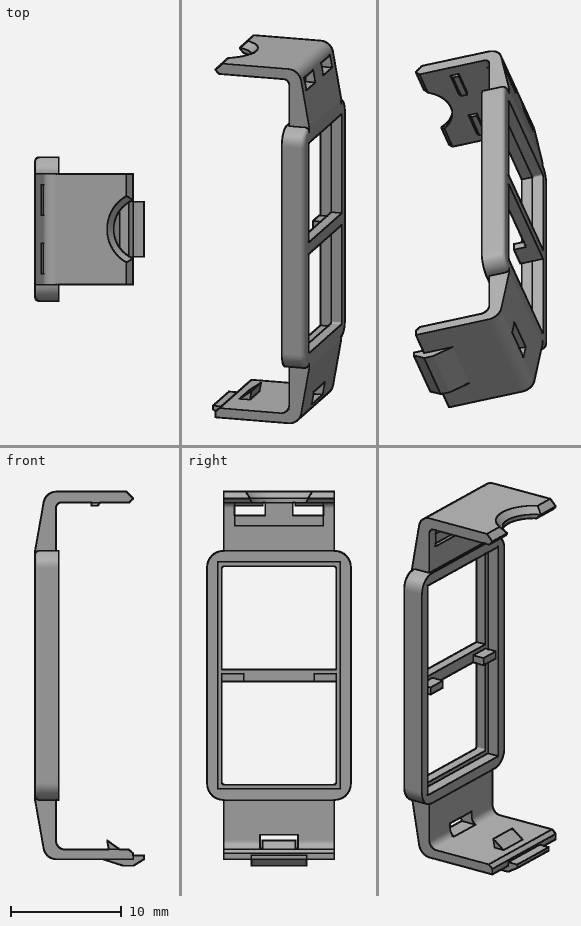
import cadquery as cq
import math

FRAME_WIDTH = 13.0
FRAME_HEIGHT = 22.5
FRAME_DEPTH = 2.15
FRAME_CORNER_RADIUS = 1.5
FRAME_EDGE_RADIUS = 0.4
OPENING_WIDTH = 10.3
OPENING_HEIGHT = 19.7
BAR_HEIGHT = 1.1
OPENING_CORNER_RADIUS = 0.2
BAR_DEPTH = 1.0
RECESS_MARGIN = 0.4
BAR_TAB_LENGTH = 1.95
BAR_TAB_HEIGHT = 0.7

ARM_WIDTH = 10.0
ARM_END_X = 8.85
ARM_OUTER_Z = 16.6
TOP_ARM_THICKNESS = 1.0
BOTTOM_ARM_THICKNESS = 0.9
TOP_INNER_Z = ARM_OUTER_Z - TOP_ARM_THICKNESS
BOTTOM_INNER_Z = BOTTOM_ARM_THICKNESS - ARM_OUTER_Z
RISER_BACK_X = 1.9
RISER_SLOPE = math.radians(10)
ARM_BEND_RADIUS = 1.2
TOP_INNER_RADIUS = 0.5
BOTTOM_INNER_RADIUS = 0.8
TOP_TIP_CHAMFER = 0.6
TOP_TIP_LOWER_CHAMFER = 0.35
BOTTOM_TIP_LENGTH = 0.4
BOTTOM_TIP_DROP = 0.35

NOTCH_CENTRE_X = 9.95
NOTCH_RADIUS = 2.85
NOTCH_CHAMFER = 0.6

WINDOW_INNER_Y = 1.25
WINDOW_OUTER_Y = 4.0
WINDOW_BOTTOM_Z = 14.45
POCKET_FRONT_X = 1.5
POCKET_BOTTOM_Z = 13.5
RIB_INNER_Y = 1.45
RIB_START_X = 5.1
RIB_LENGTH = 0.8
RIB_FOOT_LENGTH = 0.55
RIB_HEIGHT = 0.3

SLOT_WIDTH = 3.4
SLOT_BOTTOM_Z = -15.6
SLOT_TOP_Z = -14.4
HOOK_WIDTH = 3.0
HOOK_START_X = 6.65
HOOK_TIP_X = 6.5
HOOK_END_X = 7.65
HOOK_HEIGHT = 0.82
CATCH_WIDTH = 5.0
CATCH_START_X = 6.15
CATCH_FLAT_X = 8.0
CATCH_END_X = 9.84
CATCH_DEPTH = 0.6
CATCH_NOSE_TOP_Z = -16.25
CATCH_NOSE_BOTTOM_Z = -16.6


def block(x_range, y_range, z_range):
    """Axis-aligned box given by its limits."""
    lows, highs = zip(x_range, y_range, z_range)
    sizes = [high - low for low, high in zip(lows, highs)]
    return cq.Workplane("XY").box(*sizes, centered=False).translate(lows)


def side_extrusion(points, width, centre_y=0.0):
    """Extrude an X-Z outline along Y, centred on centre_y."""
    outline = cq.Workplane("XZ").polyline(points).close()
    return outline.extrude(width / 2, both=True).translate((0, centre_y, 0))


def make_frame():
    frame = block(
        (0, FRAME_DEPTH),
        (-FRAME_WIDTH / 2, FRAME_WIDTH / 2),
        (-FRAME_HEIGHT / 2, FRAME_HEIGHT / 2),
    )
    frame = frame.edges("|X").fillet(FRAME_CORNER_RADIUS)
    return frame.faces("<X").edges().fillet(FRAME_EDGE_RADIUS)


def make_opening():
    """Front opening with a wider recess behind it, less the cross bar and its tabs."""
    half_width = OPENING_WIDTH / 2
    half_height = OPENING_HEIGHT / 2
    half_bar = BAR_HEIGHT / 2
    recess_half_width = half_width + RECESS_MARGIN
    recess_half_height = half_height + RECESS_MARGIN

    front_depth = (0, BAR_DEPTH)
    back_depth = (BAR_DEPTH, FRAME_DEPTH)
    front = block(front_depth, (-half_width, half_width), (-half_height, half_height))
    front = front.edges("|X").fillet(OPENING_CORNER_RADIUS)
    front = front.cut(block(front_depth, (-half_width, half_width), (-half_bar, half_bar)))
    recess = block(
        back_depth,
        (-recess_half_width, recess_half_width),
        (-recess_half_height, recess_half_height),
    )
    tab_z_range = (-half_bar, BAR_TAB_HEIGHT - half_bar)
    for tab_start in (-half_width, half_width - BAR_TAB_LENGTH):
        tab_y_range = (tab_start, tab_start + BAR_TAB_LENGTH)
        recess = recess.cut(block(back_depth, tab_y_range, tab_z_range))
    return front.union(recess)


def make_arm(side, thickness, inner_radius, tip_points):
    """L-shaped clip arm: side is +1 for the top arm and -1 for the bottom arm.

    tip_points run from the outer face to the inner face, with Z measured away from the centre.
    """
    inner_z = ARM_OUTER_Z - thickness
    root_z = FRAME_HEIGHT / 2
    corner_x = (ARM_OUTER_Z - root_z) * math.tan(RISER_SLOPE)
    outline = [(0, root_z), (corner_x, ARM_OUTER_Z)]
    outline += tip_points
    outline += [(RISER_BACK_X, inner_z), (RISER_BACK_X, 0), (0, 0)]
    arm = side_extrusion([(x, side * z) for x, z in outline], ARM_WIDTH)

    def bend_edge(x, z):
        return cq.selectors.NearestToPointSelector((x, 0, side * z))

    arm = arm.edges(bend_edge(corner_x, ARM_OUTER_Z)).fillet(ARM_BEND_RADIUS)
    return arm.edges(bend_edge(RISER_BACK_X, inner_z)).fillet(inner_radius)


def make_top_arm():
    tip_points = [
        (ARM_END_X - TOP_TIP_CHAMFER, ARM_OUTER_Z),
        (ARM_END_X, ARM_OUTER_Z - TOP_TIP_CHAMFER),
        (ARM_END_X, TOP_INNER_Z + TOP_TIP_LOWER_CHAMFER),
        (ARM_END_X - TOP_TIP_LOWER_CHAMFER, TOP_INNER_Z),
    ]
    arm = make_arm(1, TOP_ARM_THICKNESS, TOP_INNER_RADIUS, tip_points).cut(make_notch())
    riser_depth = (0, RISER_BACK_X + TOP_INNER_RADIUS)
    pocket_depth = (POCKET_FRONT_X, RISER_BACK_X + TOP_INNER_RADIUS)
    pocket_width = (-WINDOW_OUTER_Y, WINDOW_OUTER_Y)
    arm = arm.cut(block(pocket_depth, pocket_width, (POCKET_BOTTOM_Z, TOP_INNER_Z)))
    for side in (-1, 1):
        window_width = sorted((side * WINDOW_INNER_Y, side * WINDOW_OUTER_Y))
        arm = arm.cut(block(riser_depth, window_width, (WINDOW_BOTTOM_Z, TOP_INNER_Z)))
        arm = arm.union(make_rib(side))
    return arm


def make_notch():
    """Round notch through the arm tip with a chamfered outer edge."""
    chamfer_z = ARM_OUTER_Z - NOTCH_CHAMFER
    outer_radius = NOTCH_RADIUS + NOTCH_CHAMFER
    profile = [
        (0, TOP_INNER_Z),
        (NOTCH_RADIUS, TOP_INNER_Z),
        (NOTCH_RADIUS, chamfer_z),
        (outer_radius, ARM_OUTER_Z),
        (0, ARM_OUTER_Z),
    ]
    notch = cq.Workplane("XZ").polyline(profile).close().revolve(360, (0, 0), (0, 1))
    return notch.translate((NOTCH_CENTRE_X, 0, 0))


def make_rib(side):
    """Small wedge-ended rib under the top arm, in line with a window."""
    rib_points = [
        (RIB_START_X, TOP_INNER_Z),
        (RIB_START_X + RIB_LENGTH, TOP_INNER_Z),
        (RIB_START_X + RIB_FOOT_LENGTH, TOP_INNER_Z - RIB_HEIGHT),
        (RIB_START_X, TOP_INNER_Z - RIB_HEIGHT),
    ]
    centre_y = side * (RIB_INNER_Y + WINDOW_OUTER_Y) / 2
    return side_extrusion(rib_points, WINDOW_OUTER_Y - RIB_INNER_Y, centre_y)


def make_bottom_arm():
    tip_points = [
        (ARM_END_X, ARM_OUTER_Z),
        (ARM_END_X, BOTTOM_TIP_DROP - BOTTOM_INNER_Z),
        (ARM_END_X - BOTTOM_TIP_LENGTH, -BOTTOM_INNER_Z),
    ]
    arm = make_arm(-1, BOTTOM_ARM_THICKNESS, BOTTOM_INNER_RADIUS, tip_points)
    slot = block(
        (0, RISER_BACK_X + BOTTOM_INNER_RADIUS),
        (-SLOT_WIDTH / 2, SLOT_WIDTH / 2),
        (SLOT_BOTTOM_Z, SLOT_TOP_Z),
    )
    return arm.cut(slot).union(make_hook()).union(make_catch())


def make_hook():
    """Undercut hook standing on the inner face of the bottom arm."""
    hook_points = [
        (HOOK_START_X, BOTTOM_INNER_Z),
        (HOOK_TIP_X, BOTTOM_INNER_Z + HOOK_HEIGHT),
        (HOOK_END_X, BOTTOM_INNER_Z),
    ]
    return side_extrusion(hook_points, HOOK_WIDTH)


def make_catch():
    """Ramped catch under the bottom arm with a nose past the arm tip."""
    catch_bottom_z = -ARM_OUTER_Z - CATCH_DEPTH
    catch_points = [
        (CATCH_START_X, -ARM_OUTER_Z),
        (CATCH_FLAT_X, catch_bottom_z),
        (ARM_END_X, catch_bottom_z),
        (CATCH_END_X, CATCH_NOSE_BOTTOM_Z),
        (CATCH_END_X, CATCH_NOSE_TOP_Z),
        (CATCH_START_X, CATCH_NOSE_TOP_Z),
    ]
    return side_extrusion(catch_points, CATCH_WIDTH)


result = make_frame().union(make_top_arm()).union(make_bottom_arm()).cut(make_opening())